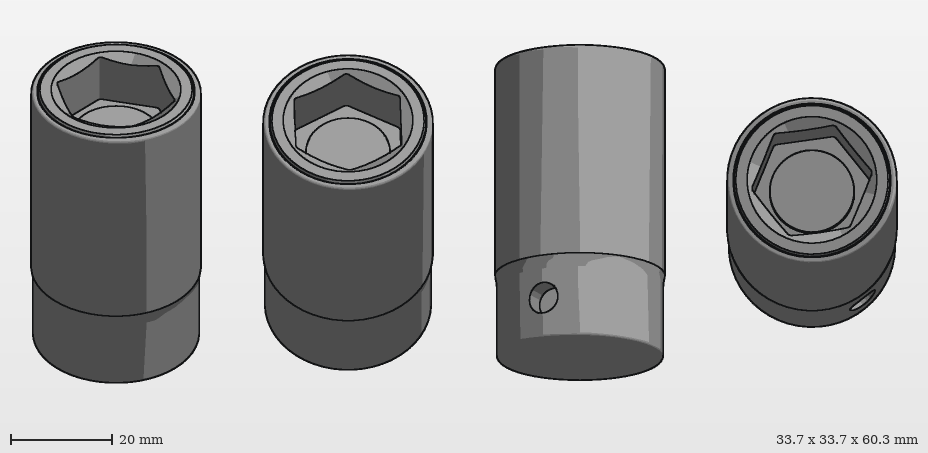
import cadquery as cq
import math

length = 60.3
sleeve_radius = 16.855
shoulder_z = 17.0

drive_radius = 16.5
drive_edge_fillet = 0.7
flare_start_z = 14.35

stem_radius = 15.45
stem_chamfer_width = 0.35
stem_chamfer_height = 0.6
stem_protrusion = 0.35
sleeve_top_z = length - stem_protrusion

liner_radius = 15.6
liner_recess = 0.35
liner_top_z = sleeve_top_z - liner_recess
sleeve_edge_fillet = 0.65

hex_across_flats = 21.0
hex_corner_fillet = 1.0
hex_depth = 10.85
hex_floor_z = length - hex_depth
lead_in_radius = 12.85
lead_in_angle = 30.0

magnet_radius = 8.3
magnet_clearance = 0.09
magnet_pocket_depth = 3.0
magnet_protrusion = 0.7

pin_hole_radius = 3.15
pin_hole_z = 8.3
pin_hole_depth = 4.8


def cylinder(radius, bottom_z, top_z):
    return cq.Workplane("XY").workplane(offset=bottom_z).circle(radius).extrude(top_z - bottom_z)


def tube(outer_radius, inner_radius, top_z):
    """Sleeve standing on the shoulder of the socket body."""
    return (
        cq.Workplane("XY")
        .workplane(offset=shoulder_z)
        .circle(outer_radius)
        .circle(inner_radius)
        .extrude(top_z - shoulder_z)
    )


def make_body_blank():
    """Revolved body whose flare is an arc tangent to the drive end."""
    flare_height = shoulder_z - flare_start_z
    return (
        cq.Workplane("XZ")
        .lineTo(drive_radius, 0)
        .lineTo(drive_radius, flare_start_z)
        .tangentArcPoint((sleeve_radius - drive_radius, flare_height))
        .lineTo(stem_radius, shoulder_z)
        .lineTo(stem_radius, length - stem_chamfer_height)
        .lineTo(stem_radius - stem_chamfer_width, length)
        .lineTo(0, length)
        .close()
        .revolve(360, (0, 0, 0), (0, 1, 0))
        .faces("<Z")
        .edges()
        .fillet(drive_edge_fillet)
    )


def make_hex_cut():
    """Hexagon with two corners on the Y axis."""
    across_corners = hex_across_flats / math.cos(math.pi / 6)
    return (
        cq.Workplane("XY")
        .workplane(offset=hex_floor_z)
        .transformed(rotate=(0, 0, 90))
        .polygon(6, across_corners)
        .extrude(hex_depth)
        .edges("|Z")
        .fillet(hex_corner_fillet)
    )


def make_lead_in_cut():
    cone_depth = lead_in_radius * math.tan(math.radians(lead_in_angle))
    return (
        cq.Workplane("XZ")
        .moveTo(0, length)
        .lineTo(lead_in_radius, length)
        .lineTo(0, length - cone_depth)
        .close()
        .revolve(360, (0, 0, 0), (0, 1, 0))
    )


def make_pin_hole_cut():
    return (
        cq.Workplane("XZ", origin=(0, drive_radius - pin_hole_depth, pin_hole_z))
        .circle(pin_hole_radius)
        .extrude(-2 * pin_hole_depth)
    )


def make_socket_body():
    magnet_pocket = cylinder(magnet_radius + magnet_clearance, hex_floor_z - magnet_pocket_depth, hex_floor_z)
    return (
        make_body_blank()
        .cut(make_hex_cut())
        .cut(make_lead_in_cut())
        .cut(magnet_pocket)
        .cut(make_pin_hole_cut())
    )


def make_liner():
    return tube(liner_radius, stem_radius, liner_top_z)


def make_outer_sleeve():
    sleeve = tube(sleeve_radius, liner_radius, sleeve_top_z)
    return sleeve.faces(">Z").edges(cq.selectors.RadiusNthSelector(-1)).fillet(sleeve_edge_fillet)


def make_magnet():
    return cylinder(magnet_radius, hex_floor_z - magnet_pocket_depth, hex_floor_z + magnet_protrusion)


socket_body = make_socket_body()
liner = make_liner()
outer_sleeve = make_outer_sleeve()
magnet = make_magnet()

result = cq.Compound.makeCompound(
    [socket_body.val(), liner.val(), outer_sleeve.val(), magnet.val()]
)